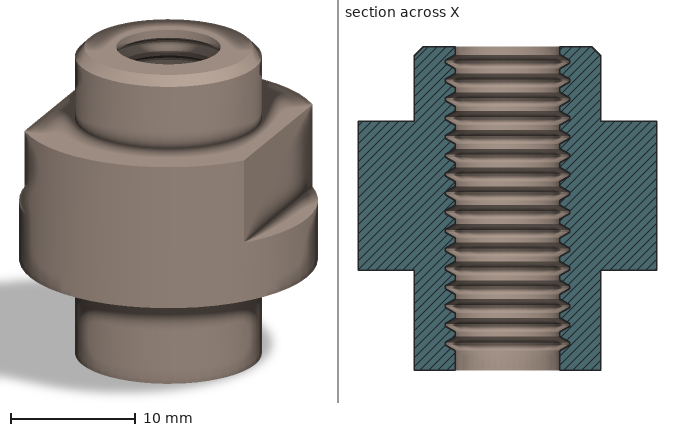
import cadquery as cq
import math

total_height = 26.0
flange_bottom = 8.0
flange_top = 20.0
flat_bottom = 13.0

flange_diameter = 24.0
neck_diameter = 15.0
across_flats = 19.0
neck_chamfer = 0.75

bore_diameter = 8.37
thread_pitch = 1.5
land_height = 0.4
root_height = 0.18
top_land_height = 0.68
flank_angle = 30.0
groove_count = 16

groove_opening = thread_pitch - land_height
flank_height = (groove_opening - root_height) / 2
groove_depth = flank_height / math.tan(math.radians(flank_angle))


def make_body():
    """Neck running the full height, with a flange around its middle."""
    neck = cq.Workplane("XY").circle(neck_diameter / 2).extrude(total_height)
    neck = neck.faces(">Z").chamfer(neck_chamfer)
    flange = (
        cq.Workplane("XY")
        .workplane(offset=flange_bottom)
        .circle(flange_diameter / 2)
        .extrude(flange_top - flange_bottom)
    )
    return neck.union(flange)


def make_flat_cutter(side):
    """Block removing the flange outside one wrench flat; side is +1 or -1 along X."""
    block_width = flange_diameter / 2
    return (
        cq.Workplane("XY")
        .workplane(offset=flat_bottom)
        .center(side * (across_flats + block_width) / 2, 0)
        .rect(block_width, flange_diameter)
        .extrude(flange_top - flat_bottom)
    )


def make_thread_groove(top_z):
    """Ring with a trapezoidal groove profile whose upper edge lies at top_z."""
    bore_radius = bore_diameter / 2
    root_radius = bore_radius + groove_depth
    bottom_z = top_z - groove_opening
    return (
        cq.Workplane("XZ")
        .moveTo(0, top_z)
        .lineTo(bore_radius, top_z)
        .lineTo(root_radius, top_z - flank_height)
        .lineTo(root_radius, bottom_z + flank_height)
        .lineTo(bore_radius, bottom_z)
        .lineTo(0, bottom_z)
        .close()
        .revolve(360, (0, 0), (0, 1))
    )


result = make_body()

for side in (-1, 1):
    result = result.cut(make_flat_cutter(side))

bore = cq.Workplane("XY").circle(bore_diameter / 2).extrude(total_height)
result = result.cut(bore)

for index in range(groove_count):
    groove_top = total_height - top_land_height - index * thread_pitch
    result = result.cut(make_thread_groove(groove_top))